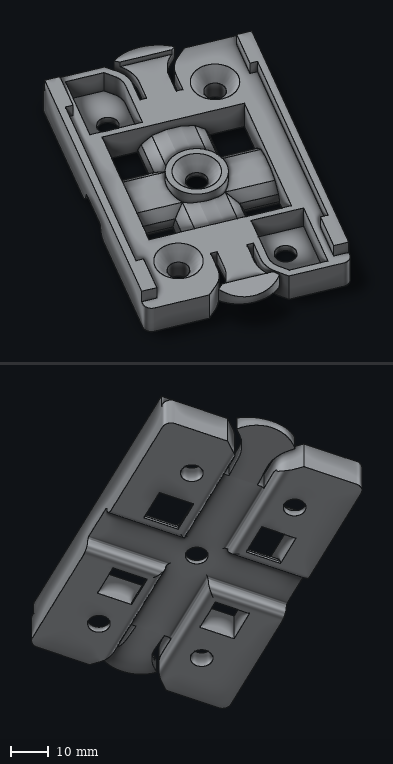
import cadquery as cq
import math

length_over_latches = 97.0
plate_length = 89.0
plate_width = 58.2
plate_height = 9.0
plate_corner_radius = 2.5
half_length = plate_length / 2
half_width = plate_width / 2

rail_height = 4.0
rail_length = 82.45
rail_relief_length = 59.9
rail_thickness = 2.1
rail_end_thickness = 4.3

window_side = 40.0
rib_half_width = 10.0
rib_side_height = 0.8
rib_shoulder_x, rib_shoulder_z = 9.0, 2.6
rib_crown_x, rib_crown_z = 6.0, 5.0
rib_flat_half_width = 2.0
rib_height = 6.0
hub_radius = 8.4

channel_half_width = 6.2
channel_height = 4.0
channel_flare_radius = 3.0
channel_fillet_radius = 1.1

hole_x = 30.0
hole_y = 15.0
hole_radius = 3.0
countersink_radius = 6.6
countersink_depth = countersink_radius - hole_radius

slot_root_x = hole_x
slot_outer_y = 6.0
slot_width = 1.8
slot_inner_y = slot_outer_y - slot_width
slot_bend_x = 36.1
slot_bend_radius = 8.0
slot_bend_angle = 45.0
slot_bend_y = slot_outer_y + slot_bend_radius
latch_tip_x = length_over_latches / 2
latch_barb_x = 43.3
latch_barb_z = 10.8
latch_tip_bottom_z = 6.4

pocket_inner_x = 21.8
pocket_wall = 2.0
pocket_outer_x = half_length - pocket_wall
pocket_outer_y = 22.8
pocket_floor = 2.0


def bend_point(radius, angle):
    """Point at the given turn, in degrees, along an arc about the slot bend centre."""
    turn = math.radians(angle)
    return slot_bend_x + radius * math.sin(turn), slot_bend_y - radius * math.cos(turn)


def beyond_bend(radius, x):
    """Point at x on the straight line that leaves the end of the bend at its tangent."""
    bend_end_x, bend_end_y = bend_point(radius, slot_bend_angle)
    return x, bend_end_y + (x - bend_end_x) * math.tan(math.radians(slot_bend_angle))


def mirrored_y(point):
    return point[0], -point[1]


def both_ends(solid):
    return solid.union(solid.rotate((0, 0, 0), (0, 0, 1), 180))


def make_plate():
    plate = cq.Workplane("XY").box(plate_length, plate_width, plate_height, centered=(True, True, False))
    plate = plate.edges("|Z").fillet(plate_corner_radius)
    return plate.cut(cq.Workplane("XY").rect(window_side, window_side).extrude(plate_height))


def make_rail():
    outer_size = (rail_length, rail_end_thickness, rail_height)
    rail = cq.Workplane("XY").box(*outer_size, centered=(True, False, False))
    relief = cq.Workplane("XY").box(
        rail_relief_length, rail_end_thickness - rail_thickness, rail_height, centered=(True, False, False)
    )
    return rail.cut(relief).translate((0, half_width - rail_end_thickness, plate_height))


def make_rib():
    """Faceted rib spanning the window along Y."""
    right_side = [
        (rib_half_width, 0),
        (rib_half_width, rib_side_height),
        (rib_shoulder_x, rib_shoulder_z),
        (rib_crown_x, rib_crown_z),
        (rib_flat_half_width, rib_height),
    ]
    left_side = [(-x, z) for x, z in reversed(right_side)]
    return cq.Workplane("XZ").polyline(right_side + left_side).close().extrude(window_side / 2, both=True)


def make_channel(run):
    """Flared channel along Y, cut from the underside."""
    shoulder_z = channel_flare_radius
    flare_x = channel_half_width + channel_flare_radius
    roof_x = channel_half_width - channel_fillet_radius
    return (
        cq.Workplane("XZ")
        .moveTo(-flare_x, 0)
        .radiusArc((-channel_half_width, shoulder_z), -channel_flare_radius)
        .radiusArc((-roof_x, channel_height), channel_fillet_radius)
        .lineTo(roof_x, channel_height)
        .radiusArc((channel_half_width, shoulder_z), channel_fillet_radius)
        .radiusArc((flare_x, 0), -channel_flare_radius)
        .close()
        .extrude(run / 2, both=True)
    )


def make_latch_opening():
    """Space through the +X end of the plate that holds the tongue and its slots."""
    middle = bend_point(slot_bend_radius, slot_bend_angle / 2)
    bend_end = bend_point(slot_bend_radius, slot_bend_angle)
    edge = beyond_bend(slot_bend_radius, half_length)
    return (
        cq.Workplane("XY")
        .moveTo(slot_root_x, slot_outer_y)
        .lineTo(slot_bend_x, slot_outer_y)
        .threePointArc(middle, bend_end)
        .lineTo(*edge)
        .lineTo(*mirrored_y(edge))
        .lineTo(*mirrored_y(bend_end))
        .threePointArc(mirrored_y(middle), (slot_bend_x, -slot_outer_y))
        .lineTo(slot_root_x, -slot_outer_y)
        .close()
        .extrude(plate_height)
    )


def make_latch():
    """Tongue with a rounded, barbed tip at the +X end."""
    radius = slot_bend_radius + slot_width
    middle = bend_point(radius, slot_bend_angle / 2)
    bend_end = bend_point(radius, slot_bend_angle)
    corner = beyond_bend(radius, half_length)
    outline = (
        cq.Workplane("XY")
        .moveTo(slot_root_x, slot_inner_y)
        .lineTo(slot_bend_x, slot_inner_y)
        .threePointArc(middle, bend_end)
        .lineTo(*corner)
        .threePointArc((latch_tip_x, 0), mirrored_y(corner))
        .lineTo(*mirrored_y(bend_end))
        .threePointArc(mirrored_y(middle), (slot_bend_x, -slot_inner_y))
        .lineTo(slot_root_x, -slot_inner_y)
        .close()
        .extrude(latch_barb_z)
    )
    side_profile = [
        (slot_root_x, channel_height),
        (latch_tip_x, latch_tip_bottom_z),
        (latch_tip_x, plate_height),
        (latch_barb_x, latch_barb_z),
        (latch_barb_x, plate_height),
        (slot_root_x, plate_height),
    ]
    profile = cq.Workplane("XZ").polyline(side_profile).close().extrude(half_width, both=True)
    return outline.intersect(profile)


def make_pocket():
    """Pocket whose rounded corner runs parallel to the slot bend."""
    radius = slot_bend_radius - pocket_wall
    return (
        cq.Workplane("XY", origin=(0, 0, pocket_floor))
        .moveTo(pocket_inner_x, slot_outer_y + pocket_wall)
        .lineTo(slot_bend_x, slot_outer_y + pocket_wall)
        .threePointArc(bend_point(radius, slot_bend_angle / 2), bend_point(radius, slot_bend_angle))
        .lineTo(*beyond_bend(radius, pocket_outer_x))
        .lineTo(pocket_outer_x, pocket_outer_y)
        .lineTo(pocket_inner_x, pocket_outer_y)
        .close()
        .extrude(plate_height - pocket_floor)
    )


body = make_plate().union(both_ends(make_rail()))
for rib_angle in (0, 90):
    body = body.union(make_rib().rotate((0, 0, 0), (0, 0, 1), rib_angle))
body = body.union(cq.Workplane("XY").circle(hub_radius).extrude(plate_height))

body = body.cut(make_channel(plate_width))
body = body.cut(make_channel(plate_length).rotate((0, 0, 0), (0, 0, 1), 90))
body = body.cut(both_ends(make_latch_opening()))
body = body.cut(both_ends(make_pocket()))

plain_holes = [(hole_x, hole_y), (-hole_x, -hole_y)]
countersunk_holes = [(-hole_x, hole_y), (hole_x, -hole_y), (0, 0)]
body = body.cut(
    cq.Workplane("XY").pushPoints(plain_holes + countersunk_holes).circle(hole_radius).extrude(plate_height)
)
for x, y in countersunk_holes:
    countersink = cq.Solid.makeCone(
        hole_radius, countersink_radius, countersink_depth, cq.Vector(x, y, plate_height - countersink_depth)
    )
    body = body.cut(cq.Workplane(countersink))

result = body.union(both_ends(make_latch()))